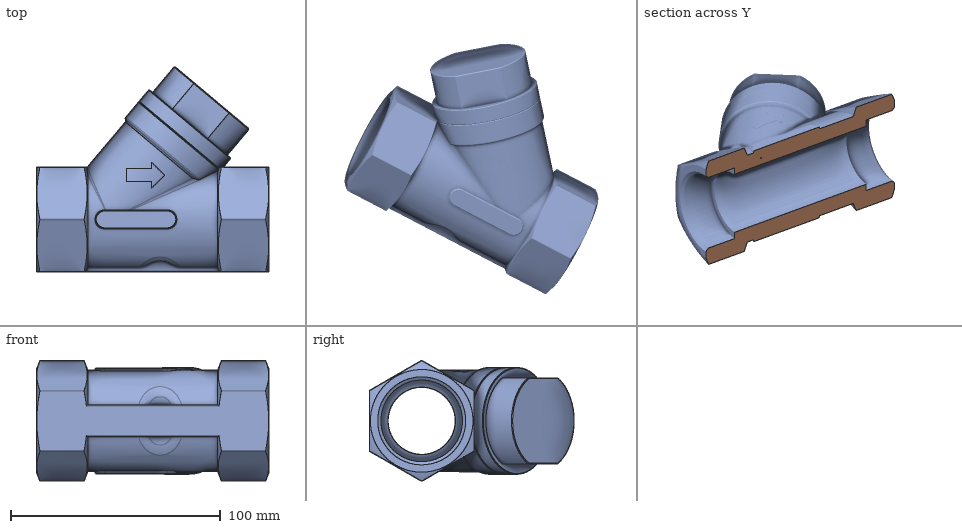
import math

import cadquery as cq

length = 111.0
hex_across_flats = 50.0
hex_length = 24.5
hex_edge_radius = 0.5
hex_face_diameter = 49.0
hex_chamfer_angle = 21.0
tube_diameter = 48.5
tube_length = 108.0

bore_diameter = 32.0
socket_diameter = 38.95
socket_depth = 16.8
socket_mouth_diameter = 42.0

branch_angle = 50.0
branch_start_x = -20.5
blend_radius = 1.5
collar_diameter = 51.0
collar_flare_start = 40.45
collar_overlap = 1.0
collar_start = 42.2
collar_seam = 51.9
collar_end = 59.5
collar_chamfer = 0.3

cap_diameter = 46.5
cap_end = 75.82
cap_across_flats = 41.0
cap_rim_chamfer = 0.4

rib_width = 15.0
rib_edge_radius = 0.5
rib_root_radius = 0.5

hollow_x = 3.5
hollow_radius = 9.5
hollow_floor_y = -19.8
hollow_rim_radius = 7.2

plate_center_x = -8.0
plate_length = 39.0
plate_width = 9.0
plate_top_z = 25.3
plate_edge_chamfer = 0.5
arrow_tail_x = -12.6
arrow_head_x = -0.5
arrow_tip_x = 5.7
arrow_center_y = 21.1
arrow_shaft_width = 6.2
arrow_head_width = 12.2
arrow_height = 0.1

tube_radius = tube_diameter / 2
tolerance = 0.001
hex_corner_radius = hex_across_flats / 2 / math.cos(math.pi / 6)

branch_direction = (
    math.cos(math.radians(branch_angle)),
    math.sin(math.radians(branch_angle)),
    0,
)
branch_plane = cq.Plane(
    origin=(branch_start_x, 0, 0), xDir=(0, 0, 1), normal=branch_direction
)
branch_profile_plane = cq.Plane(
    origin=(branch_start_x, 0, 0),
    xDir=(branch_direction[1], -branch_direction[0], 0),
    normal=(0, 0, 1),
)


def x_cylinder(diameter, start_x, cylinder_length):
    plane = cq.Workplane("YZ", origin=(start_x, 0, 0))
    return plane.circle(diameter / 2).extrude(cylinder_length)


def branch_cylinder(diameter, start, end):
    plane = cq.Workplane(branch_plane).workplane(offset=start)
    return plane.circle(diameter / 2).extrude(end - start)


def make_tube_and_stem():
    tube = x_cylinder(tube_diameter, -tube_length / 2, tube_length)
    stem = branch_cylinder(tube_diameter, 0, collar_start)
    return tube.union(stem).edges("%ELLIPSE").fillet(blend_radius)


def make_hollow():
    """Volume scooped out of the tube, its rim flared into the tube surface."""
    tube = x_cylinder(tube_diameter, -tube_length / 2, tube_length)
    groove = (
        cq.Workplane("XY")
        .center(hollow_x, hollow_floor_y - hollow_radius)
        .circle(hollow_radius)
        .extrude(tube_radius, both=True)
    )
    scooped_tube = tube.cut(groove).edges("%BSPLINE").fillet(hollow_rim_radius)
    return tube.cut(scooped_tube)


def make_hexagon():
    """Hexagonal end on the -X side, chamfered to a cone at both faces."""
    outer_x = -length / 2
    inner_x = outer_x + hex_length
    prism = (
        cq.Workplane("YZ", origin=(outer_x, 0, 0))
        .polygon(6, 2 * hex_corner_radius)
        .extrude(hex_length)
        .rotate((0, 0, 0), (1, 0, 0), 90)
        .edges("|X")
        .fillet(hex_edge_radius)
    )
    face_radius = hex_face_diameter / 2
    chamfer_slope = math.tan(math.radians(hex_chamfer_angle))
    outer_chamfer = (hex_corner_radius - face_radius) * chamfer_slope
    inner_chamfer = (hex_corner_radius - tube_radius) * chamfer_slope
    envelope = (
        cq.Workplane("XY")
        .moveTo(outer_x, 0)
        .lineTo(outer_x, face_radius)
        .lineTo(outer_x + outer_chamfer, hex_corner_radius)
        .lineTo(inner_x - inner_chamfer, hex_corner_radius)
        .lineTo(inner_x, tube_radius)
        .lineTo(inner_x, 0)
        .close()
        .revolve(360, (0, 0, 0), (1, 0, 0))
    )
    return prism.intersect(envelope)


def make_collar():
    """Flared collar on the branch, with a V-groove at the seam to the screw cap."""
    collar_radius = collar_diameter / 2
    chamfered_radius = collar_radius - collar_chamfer
    flare_middle = ((tube_radius + collar_radius) / 2, (collar_flare_start + collar_start) / 2)
    return (
        cq.Workplane(branch_profile_plane)
        .moveTo(0, collar_flare_start - collar_overlap)
        .lineTo(tube_radius, collar_flare_start - collar_overlap)
        .lineTo(tube_radius, collar_flare_start)
        .tangentArcPoint(flare_middle, relative=False)
        .tangentArcPoint((collar_radius, collar_start), relative=False)
        .lineTo(collar_radius, collar_seam - collar_chamfer)
        .lineTo(chamfered_radius, collar_seam)
        .lineTo(collar_radius, collar_seam + collar_chamfer)
        .lineTo(collar_radius, collar_end - collar_chamfer)
        .lineTo(chamfered_radius, collar_end)
        .lineTo(0, collar_end)
        .close()
        .revolve(360, (0, 0, 0), (0, 1, 0))
    )


def make_cap():
    """Round screw cap with a wrench flat on the +Z and -Z sides."""
    flats = (
        cq.Workplane(branch_plane)
        .rect(cap_across_flats, cap_diameter)
        .extrude(cap_end)
    )
    cap = branch_cylinder(cap_diameter, collar_seam, cap_end).intersect(flats)
    rim = cap.faces(cq.selectors.DirectionMinMaxSelector(cq.Vector(branch_direction), True))
    return rim.chamfer(cap_rim_chamfer)


def make_rib():
    rib_depth = hex_across_flats / 2 - bore_diameter / 2
    rib_center_y = -(hex_across_flats + bore_diameter) / 4
    return (
        cq.Workplane("XY")
        .box(tube_length, rib_depth, rib_width)
        .translate((0, rib_center_y, 0))
        .edges("|X and <Y")
        .fillet(rib_edge_radius)
    )


def make_plate():
    return (
        cq.Workplane("XY")
        .center(plate_center_x, 0)
        .slot2D(plate_length, plate_width)
        .extrude(plate_top_z)
        .faces(">Z")
        .chamfer(plate_edge_chamfer)
    )


def make_arrow():
    """Arrow along +X, standing a little proud of the round branch."""
    half_shaft = arrow_shaft_width / 2
    half_head = arrow_head_width / 2
    outline = (
        cq.Workplane("XY")
        .center(0, arrow_center_y)
        .polyline(
            [
                (arrow_tail_x, -half_shaft),
                (arrow_head_x, -half_shaft),
                (arrow_head_x, -half_head),
                (arrow_tip_x, 0),
                (arrow_head_x, half_head),
                (arrow_head_x, half_shaft),
                (arrow_tail_x, half_shaft),
            ]
        )
        .close()
        .extrude(tube_diameter)
    )
    skin = branch_cylinder(tube_diameter + 2 * arrow_height, 0, collar_flare_start)
    return outline.intersect(skin)


def make_socket():
    """Stepped socket with a conical mouth, opening at the -X end."""
    end_x = -length / 2
    socket_radius = socket_diameter / 2
    mouth_radius = socket_mouth_diameter / 2
    return (
        cq.Workplane("XY")
        .moveTo(end_x, 0)
        .lineTo(end_x, mouth_radius)
        .lineTo(end_x + mouth_radius - socket_radius, socket_radius)
        .lineTo(end_x + socket_depth, socket_radius)
        .lineTo(end_x + socket_depth, 0)
        .close()
        .revolve(360, (0, 0, 0), (1, 0, 0))
    )


def is_rib_root(edge):
    """True for the edges where a side of the rib runs into the tube or the hollow."""
    center = edge.Center()
    box = edge.BoundingBox()
    on_rib_side = abs(abs(center.z) - rib_width / 2) < tolerance and box.zlen < tolerance
    return on_rib_side and box.xlen > tolerance and -tube_radius < center.y < -bore_diameter / 2


def make_run():
    """Tube, branch stem and rib, with the rib blended into the tube."""
    ribbed = make_tube_and_stem().cut(make_hollow()).union(make_rib())
    return ribbed.edges().filter(is_rib_root).fillet(rib_root_radius)


result = make_run().union(make_collar()).union(make_cap())

hexagon = make_hexagon()
result = result.union(hexagon).union(hexagon.mirror("YZ"))

for marking in (make_plate(), make_arrow()):
    result = result.union(marking).union(marking.mirror("XY"))

socket = make_socket()
result = result.cut(x_cylinder(bore_diameter, -length / 2, length))
result = result.cut(socket).cut(socket.mirror("YZ"))